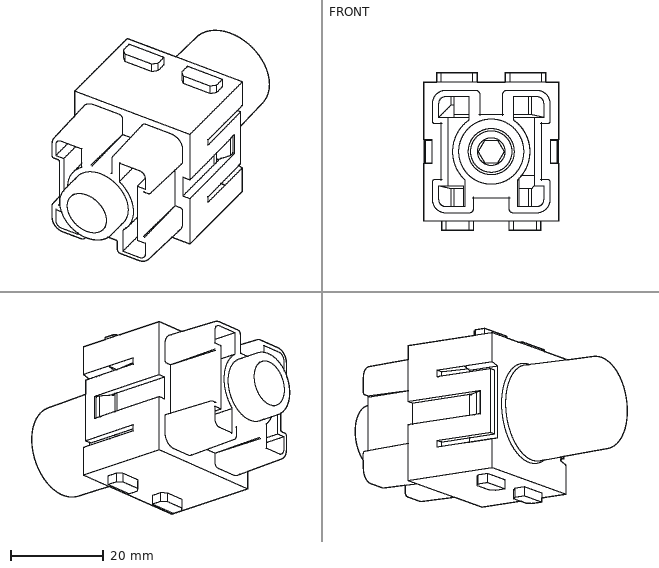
import cadquery as cq
import math


body_width = 29.3
body_height = 30.1
body_length = 21.8
half_width = body_width / 2

overall_height = 34.2
tab_height = (overall_height - body_height) / 2
tab_front = 14.6
tab_length = 3.4
tab_chamfer = 1.0
top_tab_width = 8.85
top_tab_offset = 7.4
bottom_tab_width = 6.95
bottom_tab_offset = 7.3

overall_length = 59.9
tube_reach = 18.85
neck_end = overall_length - tube_reach
neck_end_radius = 10.1
neck_edge_fillet = 0.9
neck_root_radius = 10.55
neck_flare_radius = 10.95
neck_flare_length = 0.8

shroud_length = 13.2
shroud_draft = 1.0
shroud_half_width = 12.75
shroud_half_height = 13.3
shroud_side = 10.9
lobe_inner_height = 6.05
top_notch_half_width = 2.45
top_notch_floor = 8.1
bottom_notch_half_width = 3.85
bottom_notch_floor = 10.05
shroud_corner_radius = 2.95
notch_corner_radius = 0.95
lobe_corner_radius = 0.55
rim_fillet = 0.4

hub_radius = 8.4
cavity_half_width = 11.4
cavity_half_height = 11.9
cavity_side = 9.35
cavity_lobe_height = 7.4
cavity_top_edge = 4.8
cavity_bottom_edge = 5.7
bottom_pocket_edge = 6.05
cavity_corner_radius = 1.5

ramp_depth = 2.7
pocket_depth = 6.0
ramp_end_x = 8.75
ledge_end_x = 8.0
pocket_deep_height = 8.0
wide_pocket_height = 5.15

tube_radius = 7.05
tube_edge_fillet = 0.4
bore_mouth_diameter = 10.0
bore_floor_diameter = 9.0
hex_entry_radius = 3.0
hex_circle_diameter = 5.65
hex_depth = 3.6

slot_half_height = 8.55
slot_back_half_height = 8.0
latch_half_height = 7.1
latch_root = body_length - 14.25
latch_mid = body_length - 7.25
latch_tip = body_length - 0.55
latch_tilt = 0.1
latch_thickness = 1.8
flex_depth = 2.75
back_depth = 2.1
window_half_height = 2.6
window_end = body_length - 3.2
catch_clearance = 0.1
catch_top_depth = 0.35
catch_top = body_length - 4.3


def box(x0, x1, y0, y1, z0, z1):
    """Axis-aligned box between two corners."""
    return cq.Workplane("XY").box(x1 - x0, y1 - y0, z1 - z0, centered=False).translate((x0, y0, z0))


def prism_along_z(points, z0, z1):
    """Prism with an XY outline."""
    return cq.Workplane("XY").workplane(offset=z0).polyline(points).close().extrude(z1 - z0)


def prism_along_x(points, x0, x1):
    """Prism with a YZ outline."""
    return cq.Workplane("YZ").workplane(offset=x0).polyline(points).close().extrude(x1 - x0)


def prism_along_y(points, y0, y1):
    """Prism with an XZ outline."""
    return cq.Workplane("XZ", origin=(0, y0, 0)).polyline(points).close().extrude(y0 - y1)


def revolve_about_axis(points):
    """Solid of revolution about Y from (radius, y) points."""
    return cq.Workplane("XY").polyline(points).close().revolve(360, (0, 0), (0, 1))


def mirrored(solid):
    """The solid joined with its mirror image across X."""
    return solid.union(solid.mirror("YZ"))


def tab_pair(width, offset, z0):
    """Two keying tabs with bevelled front corners."""
    tab = box(-width / 2, width / 2, tab_front, tab_front + tab_length, z0, z0 + tab_height)
    tab = tab.faces("<Y").edges("|Z").chamfer(tab_chamfer)
    return mirrored(tab.translate((offset, 0, 0)))


def cable_neck():
    """Tapered round neck with a flared root and a rounded end."""
    neck = revolve_about_axis([
        (0, body_length),
        (neck_flare_radius, body_length),
        (neck_root_radius, body_length + neck_flare_length),
        (neck_end_radius, neck_end),
        (0, neck_end),
    ])
    return neck.faces(">Y").edges().fillet(neck_edge_fillet)


def round_corner(solid, x, z, radius):
    """Fillet the lengthwise shroud edge nearest to (x, z)."""
    middle = (x, -shroud_length / 2, z)
    return solid.edges(cq.selectors.NearestToPointSelector(middle)).fillet(radius)


def shroud():
    """Drafted shroud block, solid, with rounded corners and front rim."""
    right_side = [
        (top_notch_half_width, top_notch_floor),
        (top_notch_half_width, shroud_half_height),
        (shroud_half_width, shroud_half_height),
        (shroud_half_width, lobe_inner_height),
        (shroud_side, lobe_inner_height),
        (shroud_side, -lobe_inner_height),
        (shroud_half_width, -lobe_inner_height),
        (shroud_half_width, -shroud_half_height),
        (bottom_notch_half_width, -shroud_half_height),
        (bottom_notch_half_width, -bottom_notch_floor),
    ]
    left_side = [(-x, z) for x, z in reversed(right_side)]
    block = cq.Workplane("XZ").polyline(right_side + left_side).close()
    block = block.extrude(shroud_length, taper=shroud_draft)
    for side in (-1, 1):
        width = side * shroud_half_width
        for end in (-1, 1):
            block = round_corner(block, width, end * shroud_half_height, shroud_corner_radius)
            block = round_corner(block, width, end * lobe_inner_height, lobe_corner_radius)
        block = round_corner(block, side * top_notch_half_width, shroud_half_height, notch_corner_radius)
        block = round_corner(block, side * bottom_notch_half_width, -shroud_half_height, notch_corner_radius)
    return block.faces("<Y").edges().fillet(rim_fillet)


def side_cavity():
    """Open space between the hub and the right shroud wall."""
    top_meet = math.sqrt(hub_radius**2 - cavity_top_edge**2)
    bottom_meet = math.sqrt(hub_radius**2 - cavity_bottom_edge**2)
    cavity = (
        cq.Workplane("XZ")
        .moveTo(cavity_top_edge, top_meet)
        .lineTo(cavity_top_edge, cavity_half_height)
        .lineTo(cavity_half_width, cavity_half_height)
        .lineTo(cavity_half_width, cavity_lobe_height)
        .lineTo(cavity_side, cavity_lobe_height)
        .lineTo(cavity_side, -cavity_lobe_height)
        .lineTo(cavity_half_width, -cavity_lobe_height)
        .lineTo(cavity_half_width, -cavity_half_height)
        .lineTo(cavity_bottom_edge, -cavity_half_height)
        .lineTo(cavity_bottom_edge, -bottom_meet)
        .threePointArc((hub_radius, 0), (cavity_top_edge, top_meet))
        .close()
        .extrude(shroud_length)
    )
    for end in (-1, 1):
        cavity = round_corner(cavity, cavity_half_width, end * cavity_half_height, cavity_corner_radius)
    return cavity


def corner_pocket(inner_x, start_height):
    """Pocket in the upper right corner: outer wall ramps to a ledge, then drops to the floor."""
    plan = [
        (inner_x, 0),
        (cavity_half_width, 0),
        (ramp_end_x, ramp_depth),
        (ledge_end_x, ramp_depth),
        (ledge_end_x, pocket_depth),
        (inner_x, pocket_depth),
    ]
    profile = [
        (0, start_height),
        (0, cavity_half_height),
        (pocket_depth, cavity_half_height),
        (pocket_depth, pocket_deep_height),
        (ramp_depth, pocket_deep_height),
    ]
    pocket = prism_along_z(plan, 0, cavity_half_height)
    pocket = pocket.intersect(prism_along_x(profile, 0, cavity_half_width))
    outline = box(0, cavity_half_width, 0, pocket_depth, 0, cavity_half_height)
    outline = outline.edges("|Y and >X and >Z").fillet(cavity_corner_radius)
    outline = outline.cut(box(cavity_side, cavity_half_width, 0, pocket_depth, 0, cavity_lobe_height))
    return pocket.intersect(outline)


def corner_pockets():
    """The four corner pockets; the bottom right one is wider towards the axis."""
    top = corner_pocket(cavity_top_edge, cavity_lobe_height)
    bottom = corner_pocket(bottom_pocket_edge, cavity_lobe_height).mirror("XY")
    wide_bottom = corner_pocket(bottom_pocket_edge, wide_pocket_height).mirror("XY")
    ramp_rise = cavity_half_width - ramp_end_x
    lead_in = prism_along_x(
        [
            (0, cavity_lobe_height),
            (ramp_depth, cavity_lobe_height + ramp_rise),
            (ramp_depth, cavity_lobe_height),
        ],
        ledge_end_x,
        cavity_half_width,
    )
    top_left = top.cut(lead_in).mirror("YZ")
    return top.union(top_left).union(wide_bottom).union(bottom.mirror("YZ"))


def contact_tube():
    """Solid tube standing out in front of the shroud."""
    tube = cq.Workplane("XZ").circle(tube_radius).extrude(tube_reach)
    return tube.faces("<Y").edges().fillet(tube_edge_fillet)


def tube_bore():
    """Tapered bore with a hexagon socket in its floor."""
    flat_radius = hex_circle_diameter / 2 * math.cos(math.pi / 6)
    bore = revolve_about_axis([
        (0, -tube_reach),
        (bore_mouth_diameter / 2, -tube_reach),
        (bore_floor_diameter / 2, 0),
        (hex_entry_radius, 0),
        (flat_radius, hex_entry_radius - flat_radius),
        (0, hex_entry_radius - flat_radius),
    ])
    socket = cq.Workplane("XZ").polygon(6, hex_circle_diameter).extrude(-hex_depth)
    return bore.union(socket)


def latch_recess():
    """Space around and behind the right latch arm."""
    x = half_width
    flex_space = prism_along_z(
        [(x, latch_root), (x - latch_thickness, latch_root), (x - flex_depth, latch_mid), (x, latch_mid)],
        -slot_half_height,
        slot_half_height,
    )
    back_space = prism_along_y(
        [
            (x, slot_half_height),
            (x - back_depth, slot_back_half_height),
            (x - back_depth, -slot_back_half_height),
            (x, -slot_half_height),
        ],
        latch_mid,
        body_length,
    )
    return flex_space.union(back_space)


def latch_arm():
    """Right latch arm, leaning slightly inward towards its free end."""
    x = half_width
    return prism_along_z(
        [
            (x, latch_root),
            (x - latch_thickness, latch_root),
            (x - latch_thickness, latch_tip),
            (x - latch_tilt, latch_tip),
        ],
        -latch_half_height,
        latch_half_height,
    )


def latch_groove():
    """Groove from the front face that becomes the window through the arm."""
    x = half_width
    return box(x - latch_thickness, x, 0, window_end, -window_half_height, window_half_height)


def latch_catch():
    """Ramped catch on the body, inside the window."""
    x = half_width
    catch_half_height = window_half_height - catch_clearance
    return prism_along_z(
        [
            (x - flex_depth, latch_mid),
            (x - back_depth, latch_mid),
            (x - catch_top_depth, catch_top),
            (x - catch_top_depth, window_end - catch_clearance),
            (x - flex_depth, window_end - catch_clearance),
        ],
        -catch_half_height,
        catch_half_height,
    )


body = box(-half_width, half_width, 0, body_length, -body_height / 2, body_height / 2)
body = body.cut(mirrored(latch_recess()))
body = body.union(mirrored(latch_arm()))
body = body.cut(mirrored(latch_groove()))
body = body.union(mirrored(latch_catch()))

part = body.union(cable_neck())
part = part.union(tab_pair(top_tab_width, top_tab_offset, body_height / 2))
part = part.union(tab_pair(bottom_tab_width, bottom_tab_offset, -overall_height / 2))
part = part.union(shroud())
part = part.cut(mirrored(side_cavity()))
part = part.cut(corner_pockets())
part = part.union(contact_tube())
result = part.cut(tube_bore())